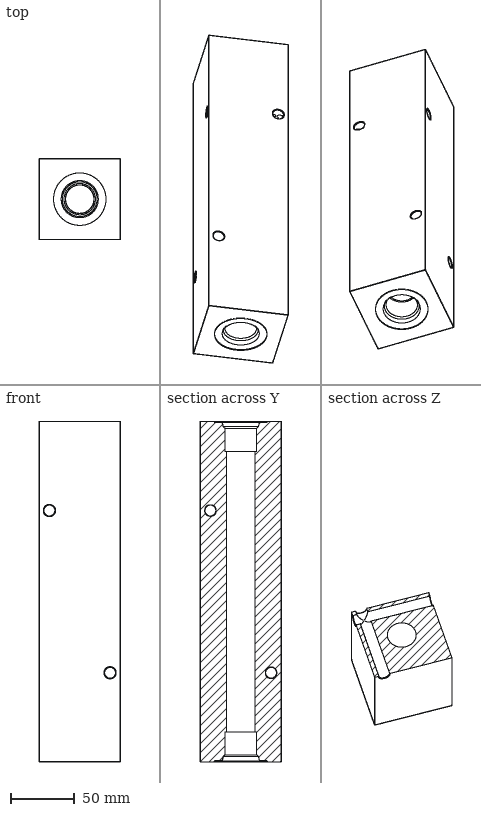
import cadquery as cq

length = 266.7
width = 63.5
edge_chamfer = 0.3

cross_hole_diameter = 8.5
cross_hole_chamfer = 0.5
cross_hole_inset = 8.0
cross_hole_spacing = 127.0

bore_diameter = 22.1
spotface_diameter = 41.0
spotface_depth = 0.8
port_mouth_diameter = 29.0
mouth_taper_end_diameter = 27.2
mouth_taper_depth = 3.5
threaded_diameter = 24.5
port_depth = 22.7


def end_port():
    """Body removed at the top end: spotface, tapered mouth, lead-in cone and threaded bore."""
    top = length / 2
    seat = top - spotface_depth
    taper_end = seat - mouth_taper_depth
    lead_in = (mouth_taper_end_diameter - threaded_diameter) / 2
    profile = [
        (0, top),
        (spotface_diameter / 2, top),
        (spotface_diameter / 2, seat),
        (port_mouth_diameter / 2, seat),
        (mouth_taper_end_diameter / 2, taper_end),
        (threaded_diameter / 2, taper_end - lead_in),
        (threaded_diameter / 2, seat - port_depth),
        (0, seat - port_depth),
    ]
    return cq.Workplane("XZ").polyline(profile).close().revolve(360, (0, 0), (0, 1))


def cross_hole(side, height):
    """One hole right through the block along Y, chamfered at both mouths."""
    radius = cross_hole_diameter / 2
    mouth_radius = radius + cross_hole_chamfer
    face = width / 2
    chamfer_end = face - cross_hole_chamfer
    profile = [
        (0, -face),
        (mouth_radius, -face),
        (radius, -chamfer_end),
        (radius, chamfer_end),
        (mouth_radius, face),
        (0, face),
    ]
    hole = cq.Workplane("XY").polyline(profile).close().revolve(360, (0, 0), (0, 1))
    return hole.translate((side, 0, height))


block = cq.Workplane("XY").box(width, width, length).edges().chamfer(edge_chamfer)
bore = cq.Workplane("XY").circle(bore_diameter / 2).extrude(length, both=True)
top_port = end_port()
bottom_port = top_port.mirror("XY")
result = block.cut(bore).cut(top_port).cut(bottom_port)

hole_side = width / 2 - cross_hole_inset
hole_height = cross_hole_spacing / 2
for side, height in [(-hole_side, hole_height), (hole_side, -hole_height)]:
    hole_along_y = cross_hole(side, height)
    hole_along_x = hole_along_y.rotate((0, 0, 0), (0, 0, 1), -90)
    result = result.cut(hole_along_y).cut(hole_along_x)